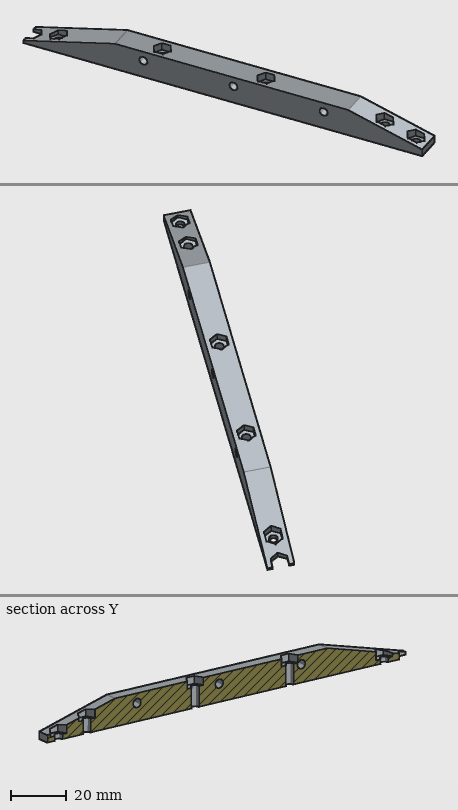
import cadquery as cq
import math

length = 161.2
width = 10.0
height = 11.0
slope = math.tan(math.radians(15))
left_slope_length = 36.9
right_slope_length = 30.0

hole_diameter = 3.2
nut_across_flats = 6.1
flat_nut_depth = 2.9
sloped_nut_depth = 2.3
left_screw_x = 11.8
screw_pitch = 41.9
pitched_screw_count = 3
end_screw_x = 156.2
end_screw_pitch = 12.5
screw_positions = [left_screw_x + i * screw_pitch for i in range(pitched_screw_count)]
screw_positions += [end_screw_x - end_screw_pitch, end_screw_x]

notch_x = 1.5

cross_hole_x = 48.5
cross_hole_pitch = 36.5
cross_hole_count = 3
cross_hole_z = 7.1


def hexagon_prism(x, across_flats, bottom_z):
    """Hexagon with flats parallel to X, running from bottom_z to the bar's full height."""
    across_corners = across_flats / math.cos(math.radians(30))
    return (
        cq.Workplane("XY", origin=(x, 0, bottom_z))
        .polygon(6, across_corners)
        .extrude(height - bottom_z)
    )


def top_height(x):
    """Height of the bar's upper surface at x."""
    past_level_top = max(0, left_slope_length - x, x - (length - right_slope_length))
    return height - past_level_top * slope


def sloped_bar():
    return (
        cq.Workplane("XZ")
        .moveTo(0, 0)
        .lineTo(length, 0)
        .lineTo(length, top_height(length))
        .lineTo(length - right_slope_length, height)
        .lineTo(left_slope_length, height)
        .lineTo(0, top_height(0))
        .close()
        .extrude(width / 2, both=True)
    )


def screw_cutter(x):
    hole = cq.Workplane("XY").center(x, 0).circle(hole_diameter / 2).extrude(height)
    surface_z = top_height(x)
    nut_depth = flat_nut_depth if surface_z == height else sloped_nut_depth
    return hole.union(hexagon_prism(x, nut_across_flats, surface_z - nut_depth))


def cross_hole_cutter(x):
    return (
        cq.Workplane("XZ")
        .center(x, cross_hole_z)
        .circle(hole_diameter / 2)
        .extrude(width, both=True)
    )


result = sloped_bar()

for screw_x in screw_positions:
    result = result.cut(screw_cutter(screw_x))

result = result.cut(hexagon_prism(notch_x, nut_across_flats, 0))

for i in range(cross_hole_count):
    result = result.cut(cross_hole_cutter(cross_hole_x + i * cross_hole_pitch))